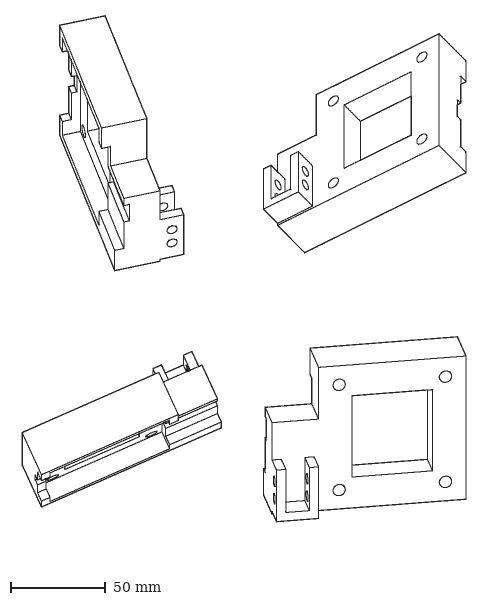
import cadquery as cq

length = 104.0
height = 83.0
depth = 25.0
frame_width = 79.1
notch_height = 30.0

rim = 5.0
recess_depth = 10.0
window_margin = 18.0

hole_diameter = 6.6
hole_inset = 11.0

channel_height = 52.3
channel_depth = 5.0
groove_height = 12.3
groove_depth = 8.0

lug_width = 22.6
lug_depth = 13.0
lug_height = 30.0
lug_bottom = 1.5
lug_wall = 5.0
lug_floor = 5.0
pin_diameter = 5.5
pin_spacing = 10.0
pin_lowest = 10.5


def box(x, y, z, width, thickness, tall):
    """Box spanned from its minimum corner."""
    return cq.Workplane("XY").box(width, thickness, tall, centered=False).translate((x, y, z))


def channel(tall, deep):
    """Full-length horizontal channel in the front face."""
    return box(0, 0, (height - tall) / 2, length, deep, tall)


def centred_opening(margin, deep):
    """Rectangular opening inset equally from all frame edges."""
    return box(margin, 0, margin, frame_width - 2 * margin, deep, height - 2 * margin)


def mounting_holes():
    """Four holes through the frame along Y."""
    return (
        cq.Workplane("XZ")
        .center(frame_width / 2, height / 2)
        .rect(frame_width - 2 * hole_inset, height - 2 * hole_inset, forConstruction=True)
        .vertices()
        .circle(hole_diameter / 2)
        .extrude(-depth)
    )


def clevis_lug():
    """Lug with a top-opening slot and two cross pin holes."""
    left = length - lug_width
    lug = box(left, depth, lug_bottom, lug_width, lug_depth, lug_height)
    slot = box(
        left + lug_wall, depth, lug_bottom + lug_floor,
        lug_width - 2 * lug_wall, lug_depth, lug_height - lug_floor,
    )
    first_pin = lug_bottom + pin_lowest
    pin_y = depth + lug_depth / 2
    pins = (
        cq.Workplane("YZ", origin=(left, 0, 0))
        .pushPoints([(pin_y, first_pin), (pin_y, first_pin + pin_spacing)])
        .circle(pin_diameter / 2)
        .extrude(lug_width)
    )
    return lug.cut(slot).cut(pins)


body = box(0, 0, 0, frame_width, depth, height)
body = body.union(box(frame_width, 0, 0, length - frame_width, depth, height - notch_height))

body = body.cut(centred_opening(rim, recess_depth))
body = body.cut(centred_opening(window_margin, depth))
body = body.cut(channel(channel_height, channel_depth))
body = body.cut(channel(groove_height, groove_depth))
body = body.cut(mounting_holes())

result = body.union(clevis_lug())